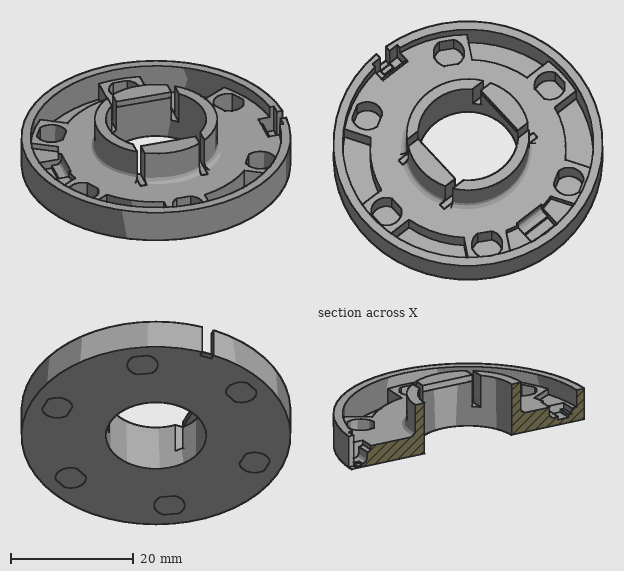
import cadquery as cq
import math

disk_radius = 22.0
rim_height = 5.5
rim_inner_radius = 20.5
floor_level = 3.5
skin_thickness = 0.1

hub_radius = 10.0
hub_top = 9.0
bore_radius = 8.2
hub_fillet = 1.0

slot_inner = 4.7
slot_outer = 5.75
slot_depth_below_floor = 0.1
slot_floor = floor_level - slot_depth_below_floor

lip_face = math.sqrt(bore_radius**2 - slot_inner**2)
lip_thickness = 1.1

hole_count = 6
hole_pitch = 360 / hole_count
hole_circle_radius = 17.5
hole_diameter = 5.0
hole_flats = 4.4
pocket_inner_radius = 16.0
pocket_floor = 0.4
web_half_width = 3.5
side_pocket_directions = (30, 150, 210, 330)

clip_pocket_floor = 2.5
clip_pocket_direction = 270

recess_width = 5.3
recess_fillet = 0.93
clip_recess_inner = 15.4
clip_recess_outer = 19.57
clip_recess_floor = 1.5
clip_groove_inner = 17.02
clip_groove_outer = 18.97
clip_groove_floor = 1.0
rim_recess_inner = 18.35
rim_recess_ledge = 19.05
rim_recess_outer = 21.0
rim_recess_floor = 0.7
rim_ledge_level = 2.5
rim_ledge_fillet = 1.0
rim_slit_width = 2.0
rim_slit_trough = 0.4


def cylinder(radius, bottom, top):
    return cq.Workplane("XY").workplane(offset=bottom).circle(radius).extrude(top - bottom)


def box(x_range, y_range, z_range):
    size = [high - low for low, high in (x_range, y_range, z_range)]
    corner = (x_range[0], y_range[0], z_range[0])
    return cq.Workplane("XY").box(*size, centered=False).translate(corner)


def arc_inset(radius):
    """Distance from the middle of a quarter-round fillet to each of its two walls."""
    return radius * (1 - math.sqrt(0.5))


def make_flange():
    disk = cylinder(disk_radius, 0, rim_height)
    return disk.cut(cylinder(rim_inner_radius, floor_level, rim_height))


def fillet_ring(start_angle, sweep):
    """Concave fillet around the foot of the hub, over part of a turn."""
    middle = arc_inset(hub_fillet)
    outer_radius = hub_radius + hub_fillet
    ring = (
        cq.Workplane("XZ")
        .moveTo(bore_radius, floor_level)
        .lineTo(outer_radius, floor_level)
        .threePointArc((hub_radius + middle, floor_level + middle), (hub_radius, floor_level + hub_fillet))
        .lineTo(bore_radius, floor_level + hub_fillet)
        .close()
        .revolve(sweep, (0, 0, 0), (0, 1, 0))
    )
    return ring.rotate((0, 0, 0), (0, 0, 1), start_angle)


def make_hub():
    hub = cylinder(hub_radius, 0, hub_top)

    corner_angle = math.degrees(math.asin(slot_outer / hub_radius))
    end_wall_sweep = 180 - 2 * corner_angle
    for start_angle in (corner_angle, 180 + corner_angle):
        hub = hub.union(fillet_ring(start_angle, end_wall_sweep))

    lobe_zone = box((-disk_radius, disk_radius), (-slot_inner, slot_inner), (0, hub_top))
    return hub.union(fillet_ring(0, 360).intersect(lobe_zone))


def make_slots():
    slot = box((-hub_radius, hub_radius), (slot_inner, slot_outer), (slot_floor, hub_top))
    return slot.union(slot.mirror("XZ"))


def make_lips():
    lip_bottom = hub_top - lip_thickness
    disk = cylinder(hub_radius, lip_bottom, hub_top)
    lip_zone = box((lip_face, hub_radius), (-slot_inner, slot_inner), (lip_bottom, hub_top))
    lip = disk.intersect(lip_zone)
    return lip.union(lip.mirror("YZ"))


def make_hole(angle):
    hole = cylinder(hole_diameter / 2, skin_thickness, rim_height)
    flats = box(
        (-hole_flats / 2, hole_flats / 2),
        (-hole_diameter, hole_diameter),
        (skin_thickness, rim_height),
    )
    hole = hole.intersect(flats).translate((hole_circle_radius, 0, 0))
    return hole.rotate((0, 0, 0), (0, 0, 1), angle)


def make_pocket(direction, bottom):
    """Ring sector between two neighbouring webs, centred on the given direction."""
    ring = cylinder(rim_inner_radius, bottom, floor_level)
    ring = ring.cut(cylinder(pocket_inner_radius, bottom, floor_level))
    half_pitch = math.radians(hole_pitch / 2)
    apex = web_half_width / math.sin(half_pitch)
    reach = 2 * disk_radius
    spread = (reach - apex) * math.tan(half_pitch)
    wedge = (
        cq.Workplane("XY")
        .polyline([(apex, 0), (reach, spread), (reach, -spread)])
        .close()
        .extrude(rim_height)
    )
    return ring.intersect(wedge).rotate((0, 0, 0), (0, 0, 1), direction)


def extrude_across(profile):
    """Extrude a closed YZ profile over the recess width, centred on X = 0."""
    return profile.extrude(recess_width / 2, both=True)


def make_clip_recess():
    fillet_rise = arc_inset(recess_fillet)
    profile = (
        cq.Workplane("YZ")
        .moveTo(-clip_recess_inner, floor_level)
        .lineTo(-clip_recess_inner, clip_recess_floor + recess_fillet)
        .threePointArc(
            (-clip_recess_inner - fillet_rise, clip_recess_floor + fillet_rise),
            (-clip_recess_inner - recess_fillet, clip_recess_floor),
        )
        .lineTo(-clip_recess_outer, clip_recess_floor)
        .lineTo(-clip_recess_outer, floor_level)
        .close()
    )
    groove = box(
        (-recess_width / 2, recess_width / 2),
        (-clip_groove_outer, -clip_groove_inner),
        (clip_groove_floor, floor_level),
    )
    return extrude_across(profile).union(groove)


def make_rim_recess():
    fillet_rise = arc_inset(recess_fillet)
    ledge_run = rim_recess_ledge - rim_recess_inner
    ledge_centre = rim_ledge_level + rim_ledge_fillet
    arc_angle = math.asin(ledge_run / rim_ledge_fillet)
    arc_start = ledge_centre - rim_ledge_fillet * math.cos(arc_angle)
    arc_middle = arc_angle / 2
    profile = (
        cq.Workplane("YZ")
        .moveTo(rim_recess_inner, rim_height)
        .lineTo(rim_recess_inner, arc_start)
        .threePointArc(
            (
                rim_recess_ledge - rim_ledge_fillet * math.sin(arc_middle),
                ledge_centre - rim_ledge_fillet * math.cos(arc_middle),
            ),
            (rim_recess_ledge, rim_ledge_level),
        )
        .lineTo(rim_recess_ledge, rim_recess_floor + recess_fillet)
        .threePointArc(
            (rim_recess_ledge + fillet_rise, rim_recess_floor + fillet_rise),
            (rim_recess_ledge + recess_fillet, rim_recess_floor),
        )
        .lineTo(rim_recess_outer, rim_recess_floor)
        .lineTo(rim_recess_outer, rim_height)
        .close()
    )
    slit_range = (-rim_slit_width / 2, rim_slit_width / 2)
    trough_start = rim_recess_ledge + recess_fillet
    trough = box(slit_range, (trough_start, rim_recess_outer), (rim_slit_trough, rim_height))
    slit = box(slit_range, (rim_recess_outer, disk_radius), (skin_thickness, rim_height))
    return extrude_across(profile).union(trough).union(slit)


result = make_flange().union(make_hub())
result = result.cut(cylinder(bore_radius, 0, hub_top))
result = result.cut(make_slots())
result = result.union(make_lips())
for index in range(hole_count):
    result = result.cut(make_hole(index * hole_pitch))
for direction in side_pocket_directions:
    result = result.cut(make_pocket(direction, pocket_floor))
result = result.cut(make_pocket(clip_pocket_direction, clip_pocket_floor))
result = result.cut(make_clip_recess())
result = result.cut(make_rim_recess())